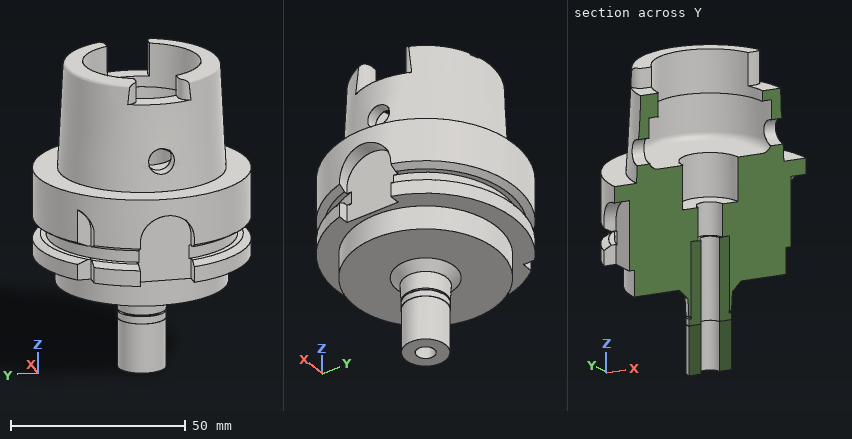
import cadquery as cq


flange_radius = 31.5
flange_bottom = -26.0
groove_radius = 27.5
groove_mid = -18.0
groove_floor_width = 4.0
groove_lip_radius = 29.2
groove_mouth_width = 6.6
neck_radius = 25.0
neck_bottom = -34.0

nose_flare_radius = 10.2
nose_top_radius = 7.4
nose_flare_bottom = neck_bottom - (nose_flare_radius - nose_top_radius)
nose_end_radius = 7.1
nose_end = -42.4

taper_height = 32.0
taper_base_radius = 24.25
taper_half_slope = 1 / 20
taper_top_radius = taper_base_radius - taper_height * taper_half_slope
rim_fillet = 1.25

mouth_radius = 17.0
mouth_bottom = 18.8
chamber_radius = 20.0
chamber_fillet = 3.0
chamber_floor = 3.3
thread_bore_radius = 9.0
thread_bore_bottom = -10.0
coolant_radius = 4.0
cross_hole_radius = 3.8
cross_hole_height = 9.0

drive_slot_half_width = 6.25
drive_slot_corner = 3.0
drive_slot_end_flat = 20.95
flat_half_width = 12.0
drive_slots = [(180, 26.0), (0, 22.0)]

keyway_floor = 26.5
keyway_top = -5.0
keyways = [(-1, 16.0), (1, 18.0)]
notch_floor = 20.3
notch_width = 14.2
notch_inner_edge = 20.1
notch_top = -4.1

tool_end = -60.0
stem_radius = 6.25
stem_top = -20.0
collar_radius = 7.1
collar_top = -42.9
tip_radius = 7.0
tip_top = -45.1
tool_bore_radius = 3.0


def cylinder(radius, bottom, top):
    return cq.Workplane("XY").workplane(offset=bottom).circle(radius).extrude(top - bottom)


def holder_blank():
    """Outer shape of the holder as one turned profile."""
    half_floor = groove_floor_width / 2
    half_mouth = groove_mouth_width / 2
    profile = [
        (0, nose_end),
        (nose_end_radius, nose_end),
        (nose_top_radius, nose_flare_bottom),
        (nose_flare_radius, neck_bottom),
        (neck_radius, neck_bottom),
        (neck_radius, flange_bottom),
        (flange_radius, flange_bottom),
        (flange_radius, groove_mid - half_mouth),
        (groove_lip_radius, groove_mid - half_floor),
        (groove_radius, groove_mid - half_floor),
        (groove_radius, groove_mid + half_floor),
        (groove_lip_radius, groove_mid + half_floor),
        (flange_radius, groove_mid + half_mouth),
        (flange_radius, 0),
        (taper_base_radius, 0),
        (taper_top_radius, taper_height),
        (0, taper_height),
    ]
    blank = cq.Workplane("YZ").polyline(profile).close().revolve(360, (0, 0), (0, 1))
    return blank.faces(">Z").edges().fillet(rim_fillet)


def holder_bores():
    """Everything hollowed out of the holder around its axis."""
    chamber = cylinder(chamber_radius, chamber_floor, mouth_bottom)
    bores = chamber.faces("<Z").edges().fillet(chamber_fillet)
    bores = bores.union(cylinder(mouth_radius, mouth_bottom, taper_height))
    bores = bores.union(cylinder(thread_bore_radius, thread_bore_bottom, chamber_floor))
    bores = bores.union(cylinder(coolant_radius, stem_top, thread_bore_bottom))
    return bores.union(cylinder(stem_radius, nose_end, stem_top))


def cross_hole():
    """Radial hole through both walls of the taper."""
    plane = cq.Workplane("YZ").workplane(offset=-flange_radius)
    return plane.center(0, cross_hole_height).circle(cross_hole_radius).extrude(2 * flange_radius)


def drive_slot(rotation, floor):
    """Slot through one rim wall, its sides rounded over into flats that run out at the rim."""
    corner_start = drive_slot_end_flat - drive_slot_corner
    corner_end_y = drive_slot_half_width + drive_slot_corner
    widened = (
        cq.Workplane("XY")
        .workplane(offset=floor)
        .moveTo(0, -drive_slot_half_width)
        .lineTo(corner_start, -drive_slot_half_width)
        .radiusArc((drive_slot_end_flat, -corner_end_y), drive_slot_corner)
        .lineTo(drive_slot_end_flat, -flat_half_width)
        .lineTo(flange_radius, -flat_half_width)
        .lineTo(flange_radius, flat_half_width)
        .lineTo(drive_slot_end_flat, flat_half_width)
        .lineTo(drive_slot_end_flat, corner_end_y)
        .radiusArc((corner_start, drive_slot_half_width), drive_slot_corner)
        .lineTo(0, drive_slot_half_width)
        .close()
        .extrude(taper_height - floor)
    )
    return widened.rotate((0, 0, 0), (0, 0, 1), rotation)


def flange_slot(side, floor, width, top, center_y):
    """Round-topped flat cut into the flange from one X side, open at the flange bottom."""
    radius = width / 2
    arc_center = top - radius
    depth = flange_radius - floor
    plane = cq.Workplane("YZ").workplane(offset=side * floor)
    return (
        plane.moveTo(center_y - radius, flange_bottom)
        .lineTo(center_y - radius, arc_center)
        .threePointArc((center_y, top), (center_y + radius, arc_center))
        .lineTo(center_y + radius, flange_bottom)
        .close()
        .extrude(side * depth)
    )


def make_holder():
    body = holder_blank().cut(holder_bores()).cut(cross_hole())
    for rotation, floor in drive_slots:
        body = body.cut(drive_slot(rotation, floor))
    for side, width in keyways:
        body = body.cut(flange_slot(side, keyway_floor, width, keyway_top, 0))
    notch_y = notch_inner_edge + notch_width / 2
    return body.cut(flange_slot(-1, notch_floor, notch_width, notch_top, notch_y))


def make_tool_shank():
    """Stem that fills the nose bore, with a collar just below the nose."""
    shank = cylinder(stem_radius, collar_top, stem_top)
    shank = shank.union(cylinder(collar_radius, tip_top, collar_top))
    return shank.cut(cylinder(tool_bore_radius, tip_top, stem_top))


def make_tool_tip():
    tip = cylinder(tip_radius, tool_end, tip_top)
    return tip.cut(cylinder(tool_bore_radius, tool_end, tip_top))


holder = make_holder()
tool_shank = make_tool_shank()
tool_tip = make_tool_tip()

result = cq.Compound.makeCompound([holder.val(), tool_shank.val(), tool_tip.val()])